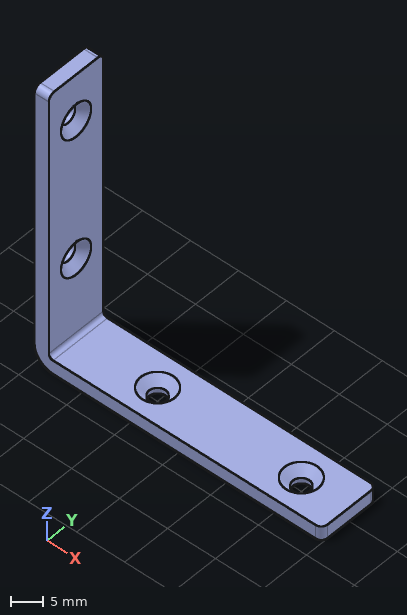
import cadquery as cq

leg_length = 59.95
width = 12.7
thickness = 3.0
bend_inner_radius = 0.9
bend_outer_radius = bend_inner_radius + thickness
corner_radius = 1.3

hole_diameter = 3.5
countersink_diameter = 7.0
countersink_angle = 90.0
hole_pitch = leg_length / 2
end_hole_distance = leg_length / 6
hole_positions = [leg_length - end_hole_distance - hole_pitch, leg_length - end_hole_distance]


def make_bent_strip():
    """L profile in the XZ plane, centred on Y = 0, with a rounded bend."""
    strip = (
        cq.Workplane("XZ")
        .polyline([
            (0, 0),
            (leg_length, 0),
            (leg_length, thickness),
            (thickness, thickness),
            (thickness, leg_length),
            (0, leg_length),
        ])
        .close()
        .extrude(width / 2, both=True)
    )
    inner_corner = cq.selectors.NearestToPointSelector((thickness, 0, thickness))
    outer_corner = cq.selectors.NearestToPointSelector((0, 0, 0))
    strip = strip.edges("|Y").edges(inner_corner).fillet(bend_inner_radius)
    return strip.edges("|Y").edges(outer_corner).fillet(bend_outer_radius)


def round_leg_ends(body):
    """Round the two corners at the free end of each leg."""
    body = body.faces(">X").edges("|Z").fillet(corner_radius)
    return body.faces(">Z").edges("|X").fillet(corner_radius)


def countersink_holes(body, inner_face, centers):
    """Drill through a leg from its inner face, on which the countersinks open."""
    return (
        body.copyWorkplane(inner_face)
        .pushPoints(centers)
        .cskHole(hole_diameter, countersink_diameter, countersink_angle, depth=thickness)
    )


horizontal_inner_face = cq.Workplane("XY", origin=(0, 0, thickness))
vertical_inner_face = cq.Workplane("YZ", origin=(thickness, 0, 0))

result = round_leg_ends(make_bent_strip())
result = countersink_holes(result, horizontal_inner_face, [(p, 0) for p in hole_positions])
result = countersink_holes(result, vertical_inner_face, [(0, p) for p in hole_positions])